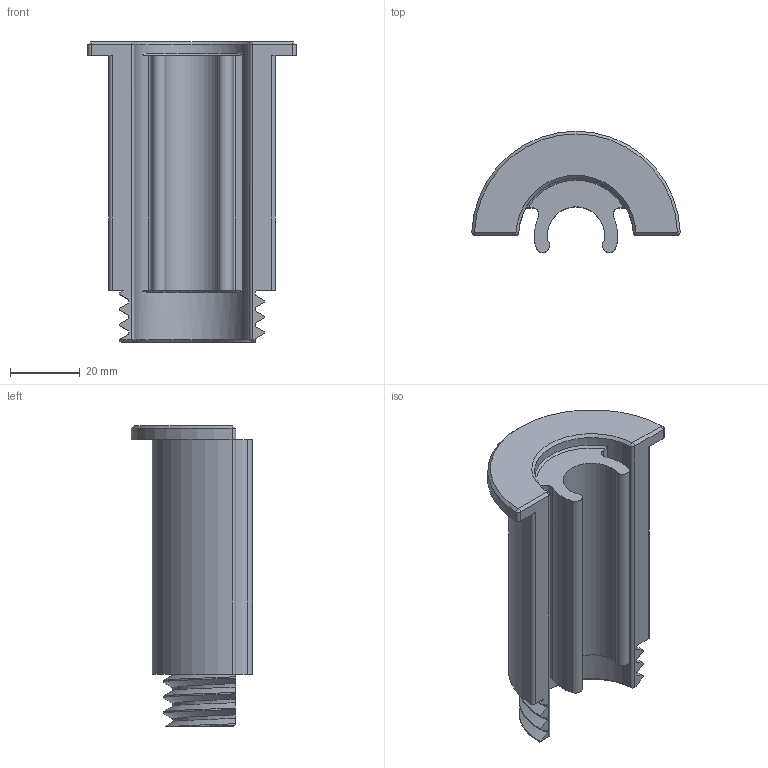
import cadquery as cq
import math

TOTAL_HEIGHT = 86.5
FLANGE_THICKNESS = 4.0
THREAD_LENGTH = 15.0
FLANGE_RADIUS = 30.0
BODY_RADIUS = 24.0
BORE_RADIUS = 16.5
SPLIT_EDGE_FILLET = 1.0
END_CHAMFER = 0.8

BODY_BOTTOM = THREAD_LENGTH
BODY_TOP = TOTAL_HEIGHT - FLANGE_THICKNESS

THREAD_ROOT_RADIUS = 18.2
THREAD_CREST_RADIUS = 20.9
THREAD_PITCH = 4.5
THREAD_BASE_WIDTH = 3.5
THREAD_CREST_WIDTH = 0.4
CREST_HEIGHT_AT_X = 2.8
FIRST_TURN = -1
LAST_TURN = 3

CLIP_INNER_RADIUS = 8.25
CLIP_OUTER_RADIUS = 12.0
CLIP_TIP_RADIUS = 2.0
CLIP_REACH = 4.88
CLIP_NECK_FILLET = 2.0
BRIDGE_FLOOR_Y = 8.0
BRIDGE_FLARE = 0.6

OVERLAP = 0.5


def polar(radius, angle):
    return (radius * math.cos(angle), radius * math.sin(angle))


def half_ring(outer_radius, bottom, top):
    """Half tube around the bore between two heights."""
    return (
        cq.Workplane("XY", origin=(0, 0, bottom))
        .moveTo(BORE_RADIUS, 0)
        .lineTo(outer_radius, 0)
        .threePointArc((0, outer_radius), (-outer_radius, 0))
        .lineTo(-BORE_RADIUS, 0)
        .threePointArc((0, BORE_RADIUS), (BORE_RADIUS, 0))
        .close()
        .extrude(top - bottom)
    )


def make_flange():
    flange = half_ring(FLANGE_RADIUS, BODY_TOP, TOTAL_HEIGHT)
    flange = flange.edges("|Z").fillet(SPLIT_EDGE_FILLET)
    return flange.faces(">Z").edges().chamfer(END_CHAMFER)


def make_body():
    body = half_ring(BODY_RADIUS, BODY_BOTTOM, BODY_TOP)
    return body.edges("|Z").fillet(SPLIT_EDGE_FILLET)


def make_threaded_end():
    """Half tube with a helical ridge, chamfered on its bore and split edges at the bottom."""
    core = half_ring(THREAD_ROOT_RADIUS, 0, BODY_BOTTOM)
    for bore_x in (BORE_RADIUS, -BORE_RADIUS):
        bore_edge = cq.selectors.NearestToPointSelector((bore_x, 0, BODY_BOTTOM / 2))
        core = core.edges("|Z").edges(bore_edge).fillet(SPLIT_EDGE_FILLET)

    thread_space = cq.Workplane("XY").box(
        2 * FLANGE_RADIUS, FLANGE_RADIUS, BODY_BOTTOM + OVERLAP, centered=(True, False, False)
    )
    end = core
    for turn in range(FIRST_TURN, LAST_TURN + 1):
        ridge = make_ridge_turn(CREST_HEIGHT_AT_X + turn * THREAD_PITCH)
        end = end.union(ridge.intersect(thread_space))

    split_chamfer = (
        cq.Workplane("YZ")
        .polyline([(0, 0), (END_CHAMFER, 0), (0, END_CHAMFER)])
        .close()
        .extrude(FLANGE_RADIUS, both=True)
    )
    bore_chamfer = cq.Workplane("XY").add(
        cq.Solid.makeCone(BORE_RADIUS + END_CHAMFER, BORE_RADIUS, END_CHAMFER)
    )
    return end.cut(split_chamfer).cut(bore_chamfer)


def make_ridge_turn(crest_height):
    """One turn of thread, climbing from -Y over +X, +Y and -X, with its crest at crest_height on +X."""
    start = crest_height - THREAD_PITCH / 4
    helix = cq.Wire.makeHelix(
        THREAD_PITCH, THREAD_PITCH, THREAD_ROOT_RADIUS, center=cq.Vector(0, 0, start)
    )
    half_crest = THREAD_CREST_WIDTH / 2
    flank_slope = (THREAD_BASE_WIDTH / 2 - half_crest) / (THREAD_CREST_RADIUS - THREAD_ROOT_RADIUS)
    buried_radius = THREAD_ROOT_RADIUS - OVERLAP
    half_base = THREAD_BASE_WIDTH / 2 + OVERLAP * flank_slope
    return (
        cq.Workplane("XZ")
        .polyline([
            (buried_radius, start - half_base),
            (THREAD_CREST_RADIUS, start - half_crest),
            (THREAD_CREST_RADIUS, start + half_crest),
            (buried_radius, start + half_base),
        ])
        .close()
        .sweep(cq.Workplane(helix), isFrenet=True)
        .rotate((0, 0, 0), (0, 0, 1), -90)
    )


def make_clip():
    """C-shaped clip hung from the bore by a bridge, as one mirrored half outline."""
    tip_distance = CLIP_OUTER_RADIUS - CLIP_TIP_RADIUS
    tip_angle = -math.asin((CLIP_REACH - CLIP_TIP_RADIUS) / tip_distance)
    tip_x, tip_y = polar(tip_distance, tip_angle)
    crossing_offset = math.acos(
        (tip_distance**2 + CLIP_INNER_RADIUS**2 - CLIP_TIP_RADIUS**2)
        / (2 * tip_distance * CLIP_INNER_RADIUS)
    )
    inner_end_angle = tip_angle + crossing_offset
    inner_middle_angle = (math.pi / 2 + inner_end_angle) / 2

    neck_distance = CLIP_OUTER_RADIUS + CLIP_NECK_FILLET
    neck_y = BRIDGE_FLOOR_Y - CLIP_NECK_FILLET
    neck_angle = math.asin(neck_y / neck_distance)
    neck_x = neck_distance * math.cos(neck_angle)
    neck_middle_angle = (math.pi / 2 + neck_angle + math.pi) / 2
    neck_dx, neck_dy = polar(CLIP_NECK_FILLET, neck_middle_angle)

    tip_dx, tip_dy = polar(CLIP_TIP_RADIUS, tip_angle - math.pi / 2)
    bridge_radius = BORE_RADIUS + OVERLAP
    bridge_angle = math.asin(BRIDGE_FLOOR_Y / bridge_radius)

    half = (
        cq.Workplane("XY", origin=(0, 0, BODY_BOTTOM))
        .moveTo(0, CLIP_INNER_RADIUS)
        .threePointArc(
            polar(CLIP_INNER_RADIUS, inner_middle_angle), polar(CLIP_INNER_RADIUS, inner_end_angle)
        )
        .threePointArc((tip_x + tip_dx, tip_y + tip_dy), polar(CLIP_OUTER_RADIUS, tip_angle))
        .threePointArc((CLIP_OUTER_RADIUS, 0), polar(CLIP_OUTER_RADIUS, neck_angle))
        .threePointArc((neck_x + neck_dx, neck_y + neck_dy), (neck_x, BRIDGE_FLOOR_Y))
        .lineTo(*polar(bridge_radius, bridge_angle))
        .threePointArc(
            polar(bridge_radius, (bridge_angle + math.pi / 2) / 2), (0, bridge_radius)
        )
        .close()
        .extrude(BODY_TOP - BODY_BOTTOM)
    )
    return half.union(half.mirror("YZ"))


def make_bridge_flares():
    """Sloped collars above and below the bridge, where it runs into the bore wall."""
    outer = BORE_RADIUS + OVERLAP
    inner = BORE_RADIUS - BRIDGE_FLARE
    low = BODY_BOTTOM - BRIDGE_FLARE
    high = BODY_TOP + BRIDGE_FLARE
    collar = (
        cq.Workplane("XZ")
        .polyline([
            (outer, low),
            (BORE_RADIUS, low),
            (inner, BODY_BOTTOM),
            (inner, BODY_TOP),
            (BORE_RADIUS, high),
            (outer, high),
        ])
        .close()
        .revolve(360, (0, 0, 0), (0, 1, 0))
    )
    bridge_side = cq.Workplane("XY", origin=(0, BRIDGE_FLOOR_Y, 0)).box(
        2 * FLANGE_RADIUS, FLANGE_RADIUS, TOTAL_HEIGHT, centered=(True, False, False)
    )
    return collar.intersect(bridge_side)


result = (
    make_body()
    .union(make_flange())
    .union(make_threaded_end())
    .union(make_clip())
    .union(make_bridge_flares())
)